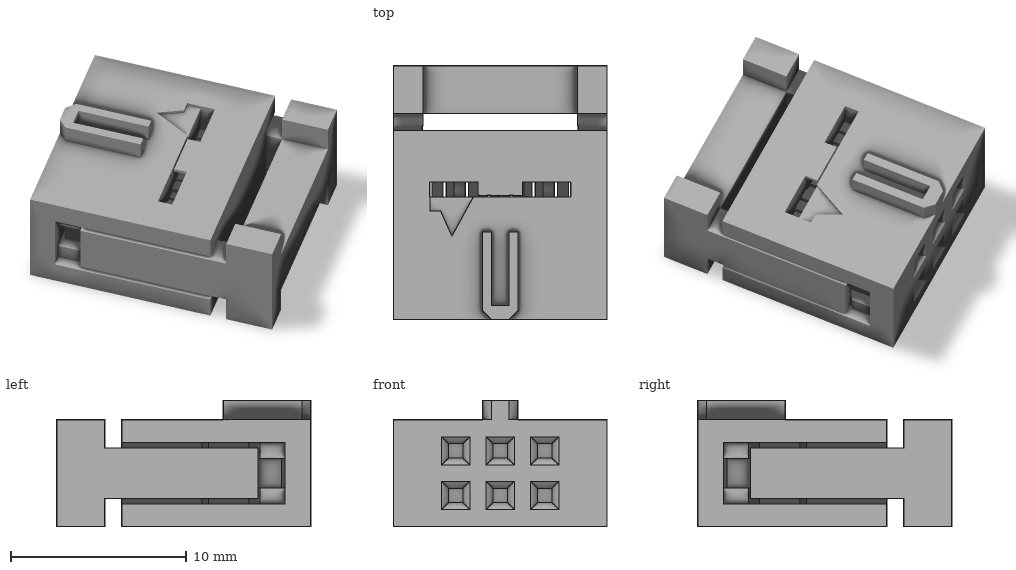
import cadquery as cq


width = 12.2
body_depth = 10.8
body_height = 6.1
mid_height = body_height / 2

key_width = 2.0
key_length = 5.0
key_height = 1.1
key_chamfer = 0.5
key_channel_width = 1.0
key_front_wall = 0.8

pin_pitch = 2.54
pin_columns = 3
pin_rows = 2
pin_mouth = 1.6
pin_floor = 0.82
pin_lead_in = (pin_mouth - pin_floor) / 2

slot_height = 3.5
slot_front = 1.48
seat_depth = 0.64
first_ramp = 0.63
second_ramp = 0.38
first_ramp_start = 2.9
second_ramp_start = 5.84
slot_depth = seat_depth + first_ramp + second_ramp

clip_back = 14.5
bar_depth = 2.75
bar_front = clip_back - bar_depth
ear_width = 1.7
ear_root = 11.04
arm_height = 2.9
arm_tip = 3.01

hook_height = 1.7
hook_tip = 1.66
hook_level = seat_depth + first_ramp
latch_depth = 1.8

window_half_width = 4.015
window_front = 7.0
window_depth = 0.85
tab_half_width = 1.27
tab_clearance = 0.09
tab_thickness = 0.2
contact_level = 4.3
contact_step = 0.3
contact_pitch = pin_pitch / 2
contact_count = pin_columns * pin_rows
contact_width = 1.46
slit_width = 0.18

mark_depth = 0.2
mark_left = -window_half_width
mark_shoulder_x = -3.41
mark_shoulder_y = 6.2
mark_tip_x = -2.756
mark_tip_y = 4.77
mark_right = -1.54


def block(x_range, y_range, z_range):
    """Box given by its limits along each axis."""
    (x0, x1), (y0, y1), (z0, z1) = x_range, y_range, z_range
    return cq.Workplane("XY").box(x1 - x0, y1 - y0, z1 - z0, centered=False).translate((x0, y0, z0))


def centred(size, middle=0.0):
    """Limits of a span of the given size about its middle."""
    return (middle - size / 2, middle + size / 2)


def spread(count, pitch):
    """Evenly spaced positions centred on zero."""
    return [(i - (count - 1) / 2) * pitch for i in range(count)]


def both_sides(left):
    """Join a left-hand feature with its mirror image on the right."""
    return left.union(left.mirror("YZ"))


def ramped_filler(front, back, height):
    """Solid between the left outer face and the ramped slot floor."""
    outer = -width / 2
    floor_at_front = seat_depth + max(front - first_ramp_start, 0)
    points = [(outer, front), (outer + floor_at_front, front)]
    if front < first_ramp_start:
        points.append((outer + seat_depth, first_ramp_start))
    points += [
        (outer + hook_level, first_ramp_start + first_ramp),
        (outer + hook_level, second_ramp_start),
        (outer + slot_depth, second_ramp_start + second_ramp),
        (outer + slot_depth, back),
        (outer, back),
    ]
    base = mid_height - height / 2
    return cq.Workplane("XY").workplane(offset=base).polyline(points).close().extrude(height)


def make_key():
    key = block(centred(key_width), (0, key_length), (body_height, body_height + key_height))
    key = key.edges("|Z and <Y").chamfer(key_chamfer)
    channel = block(
        centred(key_channel_width), (key_front_wall, key_length), (body_height, body_height + key_height)
    )
    return key.cut(channel)


def pin_socket(x, z):
    """Square lead-in that narrows to a flat floor."""
    return (
        cq.Workplane("XZ", origin=(x, 0, z))
        .rect(pin_mouth, pin_mouth)
        .workplane(offset=-pin_lead_in)
        .rect(pin_floor, pin_floor)
        .loft(ruled=True)
    )


def cut_pin_sockets(body):
    for x in spread(pin_columns, pin_pitch):
        for z in spread(pin_rows, pin_pitch):
            body = body.cut(pin_socket(x, mid_height + z))
    return body


def cut_side_slots(body):
    slot = ramped_filler(slot_front, body_depth, slot_height)
    latch = block(
        (-width / 2, -width / 2 + latch_depth),
        (slot_front, first_ramp_start + first_ramp),
        centred(hook_height, mid_height),
    )
    return body.cut(both_sides(slot.union(latch)))


def cut_contact_window(body):
    """Window with a thin tab at its back edge, stepped contacts at its floor and slits through the base."""
    window_y = (window_front, window_front + window_depth)
    full_x = centred(2 * window_half_width)
    positions = spread(contact_count, contact_pitch)

    window = block(full_x, window_y, (0, body_height))
    contact_span = centred((contact_count - 1) * contact_pitch + contact_width)
    contacts = block(contact_span, window_y, (0, contact_level))
    for x in positions[1::2]:
        contacts = contacts.union(block(centred(contact_width, x), window_y, (0, contact_level + contact_step)))
    for x in positions:
        contacts = contacts.cut(block(centred(slit_width, x), window_y, (0, body_height)))

    tab = block(
        centred(2 * tab_half_width),
        (window_front + tab_clearance, window_front + window_depth),
        (body_height - tab_thickness, body_height),
    )
    return body.cut(window).union(contacts).union(tab)


def cut_pin_one_mark(body):
    outline = [
        (mark_left, window_front),
        (mark_left, mark_shoulder_y),
        (mark_shoulder_x, mark_shoulder_y),
        (mark_tip_x, mark_tip_y),
        (mark_right, window_front),
    ]
    mark = cq.Workplane("XY").workplane(offset=body_height - mark_depth).polyline(outline).close()
    return body.cut(mark.extrude(mark_depth))


def make_clip():
    left = -width / 2
    arm_z = centred(arm_height, mid_height)
    arm = ramped_filler(arm_tip, clip_back, arm_height)
    hook = block(
        (left + hook_level, left + latch_depth),
        (hook_tip, first_ramp_start + first_ramp),
        centred(hook_height, mid_height),
    )
    root = block((left, left + ear_width), (ear_root, clip_back), arm_z)
    ear = block((left, left + ear_width), (bar_front, clip_back), (0, body_height))
    bar = block(centred(width), (bar_front, clip_back), arm_z)
    return both_sides(arm.union(hook).union(root).union(ear)).union(bar)


housing = block(centred(width), (0, body_depth), (0, body_height))
housing = cut_pin_sockets(housing)
housing = cut_side_slots(housing)
housing = cut_contact_window(housing)
housing = cut_pin_one_mark(housing)
result = housing.union(make_key()).union(make_clip())